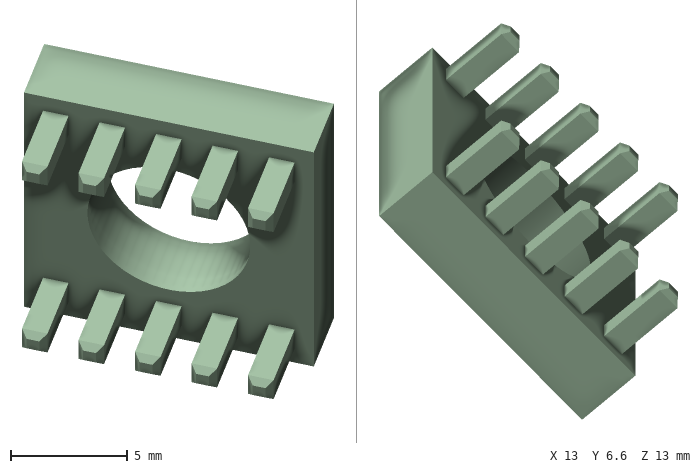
import cadquery as cq

plate_side = 13.0
plate_thickness = 3.1
hole_diameter = 7.3

total_depth = 6.6
pin_length = total_depth - plate_thickness
pin_width = 1.15
tip_chamfer = 0.29
pins_per_row = 5
row_count = 2
pin_pitch = 2.54
row_spacing = (pins_per_row - 1) * pin_pitch


def make_plate():
    """Plate with its pin-side face at Y = 0 and a central through hole."""
    plate = cq.Workplane("XZ").rect(plate_side, plate_side).extrude(-plate_thickness)
    return plate.faces("<Y").workplane(centerOption="CenterOfMass").hole(hole_diameter)


def add_pins(plate):
    """Add two rows of square pins with chamfered free ends."""
    pins = (
        cq.Workplane("XZ")
        .rarray(pin_pitch, row_spacing, pins_per_row, row_count)
        .rect(pin_width, pin_width)
        .extrude(pin_length)
        .faces("<Y")
        .chamfer(tip_chamfer)
    )
    return plate.union(pins)


result = add_pins(make_plate())